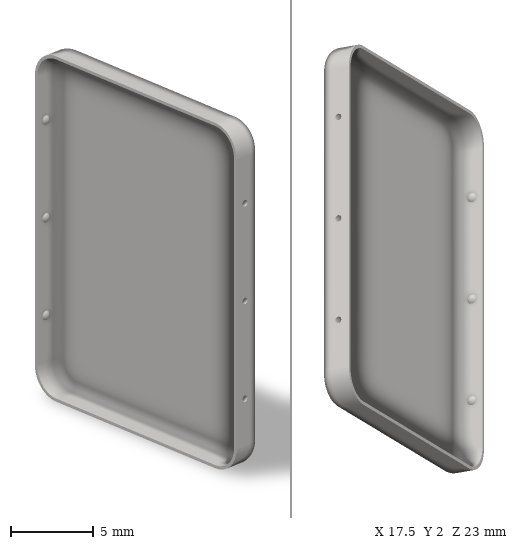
import cadquery as cq

width = 17.5
depth = 2.0
height = 23.0
wall = 0.2
corner_radius = 1.85
back_edge_radius = 0.71

dimple_radius = 0.2
bump_radius = 0.37
dimple_pitch = 6.5
dimple_setback = 0.74

front_y = -depth / 2


def rounded_block(inset):
    """Outer form moved inward by inset; its open face stays on the rim plane."""
    block = (
        cq.Workplane("XZ", origin=(0, front_y, 0))
        .rect(width - 2 * inset, height - 2 * inset)
        .extrude(-(depth - inset))
    )
    block = block.edges("|Y").fillet(corner_radius - inset)
    return block.faces(">Y").edges().fillet(back_edge_radius - inset)


def dimple_domes(radius):
    """Half balls bulging inward from the outer faces of the two side walls."""
    y = front_y + dimple_setback
    domes = cq.Workplane("XY")
    for side in (-1, 1):
        for row in (-1, 0, 1):
            center = cq.Vector(side * width / 2, y, row * dimple_pitch)
            inward = cq.Vector(-side, 0, 0)
            domes.add(cq.Solid.makeSphere(radius, center, inward, 0, 90, 360))
    return domes.combine()


outer = rounded_block(0)
tray = outer.cut(rounded_block(wall))
result = tray.union(dimple_domes(bump_radius)).cut(dimple_domes(dimple_radius))